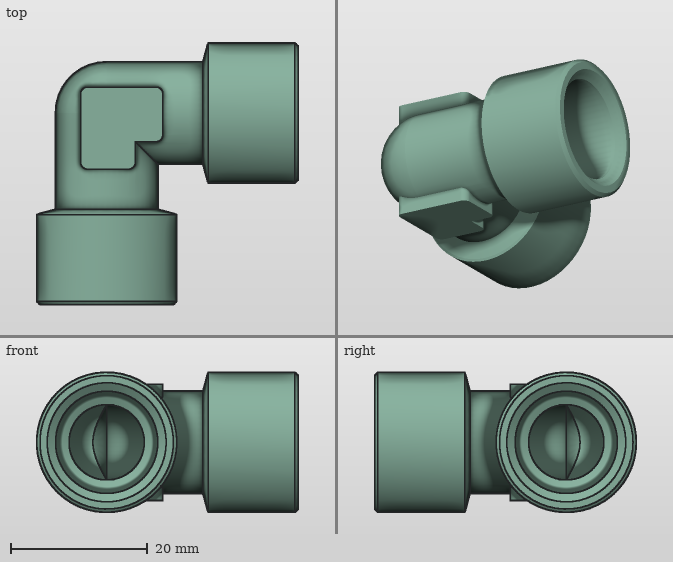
import cadquery as cq
import math

LEG_LENGTH = 28.0
NECK_RADIUS = 7.5

SOCKET_RADIUS = 20.5 / 2
SOCKET_LENGTH = 13.95
SOCKET_SHOULDER_ANGLE = 15.0
SOCKET_EDGE_CHAMFER = 0.5
SOCKET_RIM_HEIGHT = 0.35
SOCKET_RIM_ANGLE = 25.0

PASSAGE_RADIUS = 11.0 / 2
BORE_RADIUS = 14.95 / 2
BORE_DEPTH = 12.0
DRILL_POINT_ANGLE = 120.0
MOUTH_RADIUS = 8.7
MOUTH_SLOPE_ANGLE = 45.0

PAD_SIZE = 12.0
PAD_ARM_WIDTH = 8.0
PAD_SETBACK = 3.8
PAD_HEIGHT = 8.5
PAD_CORNER_RADIUS = 1.0


def revolve_about_x(points):
    """Revolve a closed (x, radius) outline around the X axis."""
    return cq.Workplane("XY").polyline(points).close().revolve(360, (0, 0, 0), (1, 0, 0))


def on_both_legs(x_leg):
    """Join a shape on the X leg with its copy turned onto the -Y leg."""
    y_leg = x_leg.rotate((0, 0, 0), (0, 0, 1), -90)
    return x_leg.union(y_leg)


def leg_body():
    """Neck and chamfered socket of one leg."""
    socket_start = LEG_LENGTH - SOCKET_LENGTH
    rim_radius = SOCKET_RADIUS - SOCKET_RIM_HEIGHT
    shoulder_length = (rim_radius - NECK_RADIUS) * math.tan(math.radians(SOCKET_SHOULDER_ANGLE))
    rim_start = socket_start + shoulder_length
    rim_length = SOCKET_RIM_HEIGHT * math.tan(math.radians(SOCKET_RIM_ANGLE))
    return revolve_about_x([
        (0, 0),
        (0, NECK_RADIUS),
        (socket_start, NECK_RADIUS),
        (rim_start, rim_radius),
        (rim_start + rim_length, SOCKET_RADIUS),
        (LEG_LENGTH - SOCKET_EDGE_CHAMFER, SOCKET_RADIUS),
        (LEG_LENGTH, SOCKET_RADIUS - SOCKET_EDGE_CHAMFER),
        (LEG_LENGTH, 0),
    ])


def leg_bore():
    """Passage with a drill point, stepped up to the countersunk socket bore."""
    point_slope = math.tan(math.radians(DRILL_POINT_ANGLE / 2))
    bore_end = LEG_LENGTH - BORE_DEPTH
    mouth_depth = (MOUTH_RADIUS - BORE_RADIUS) / math.tan(math.radians(MOUTH_SLOPE_ANGLE))
    return revolve_about_x([
        (-PASSAGE_RADIUS / point_slope, 0),
        (0, PASSAGE_RADIUS),
        (bore_end - (BORE_RADIUS - PASSAGE_RADIUS) / point_slope, PASSAGE_RADIUS),
        (bore_end, BORE_RADIUS),
        (LEG_LENGTH - mouth_depth, BORE_RADIUS),
        (LEG_LENGTH, MOUTH_RADIUS),
        (LEG_LENGTH, 0),
    ])


def wrench_pads():
    """L-shaped block through the elbow; its two ends are the raised flats."""
    outer = -PAD_SETBACK
    arm_side = outer + PAD_ARM_WIDTH
    arm_end = outer + PAD_SIZE
    block = (
        cq.Workplane("XY")
        .polyline([
            (outer, -outer),
            (arm_end, -outer),
            (arm_end, -arm_side),
            (arm_side, -arm_side),
            (arm_side, -arm_end),
            (outer, -arm_end),
        ])
        .close()
        .extrude(PAD_HEIGHT, both=True)
    )
    inside_corner = cq.selectors.NearestToPointSelector((arm_side, -arm_side, 0))
    vertical_edges = cq.selectors.StringSyntaxSelector("|Z")
    outside_corners = cq.selectors.SubtractSelector(vertical_edges, inside_corner)
    return block.edges(outside_corners).fillet(PAD_CORNER_RADIUS)


elbow_corner = cq.Workplane("XY").sphere(NECK_RADIUS)
body = on_both_legs(leg_body()).union(elbow_corner).union(wrench_pads())
result = body.cut(on_both_legs(leg_bore()))